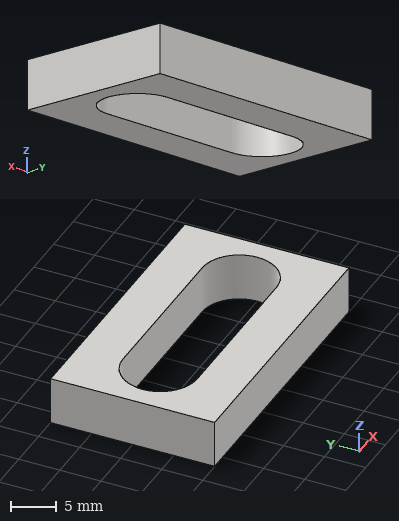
import cadquery as cq

plate_length = 34.0
plate_width = 20.0
plate_thickness = 5.8

slot_length = 29.0
slot_width = 9.0

plate = cq.Workplane("XY").box(plate_length, plate_width, plate_thickness)

result = plate.faces(">Z").workplane().slot2D(slot_length, slot_width).cutThruAll()